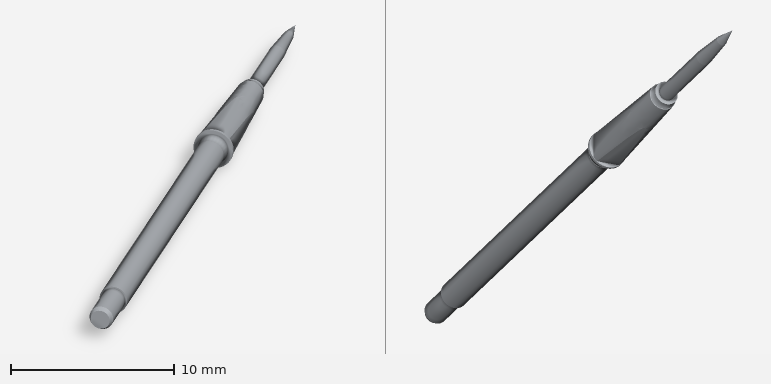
import cadquery as cq


flange_thickness = 0.2
sleeve_length = 8.3
collar_length = 0.55
ring_thickness = 0.17
plunger_length = 5.65
needle_cone_length = 2.7
point_base_length = 0.7
point_length = 0.9
neck_length = 0.75
barrel_length = 22.3
tail_length = 3.05
tail_chamfer_length = 0.3

flange_diameter = 2.5
sleeve_rear_diameter = 2.44
sleeve_front_diameter = 1.73
collar_diameter = 1.5
throat_diameter = 1.42
throat_flare_diameter = 1.66
plunger_diameter = 1.0
needle_cone_front_diameter = 0.65
point_diameter = 0.36
neck_front_diameter = 1.9
neck_rear_diameter = 1.66
barrel_diameter = 1.75
tail_diameter = 1.5

throat_flare_radius = 0.66

tail_chamfer_depth = 0.15

flat_count = 4
across_flats = 1.96

sleeve_start = flange_thickness
sleeve_end = sleeve_start + sleeve_length
collar_end = sleeve_end + collar_length
ring_start = collar_end - ring_thickness
plunger_end = collar_end + plunger_length
needle_cone_end = plunger_end + needle_cone_length
point_start = needle_cone_end + point_base_length
tip = point_start + point_length

neck_end = -neck_length
barrel_end = neck_end - barrel_length
tail_end = barrel_end - tail_length


def half_profile(station, radius):
    """Start a half outline in the YZ plane: on the axis, then out to the given radius."""
    return cq.Workplane("YZ").moveTo(station, 0).lineTo(station, radius)


def turned(outline, end):
    """Close a half outline along the axis from its end station and turn it about Y."""
    return outline.lineTo(end, 0).close().revolve(360, (0, 0, 0), (1, 0, 0))


def frustum(start, end, start_diameter, end_diameter):
    """Truncated cone about Y between two stations."""
    outline = half_profile(start, start_diameter / 2).lineTo(end, end_diameter / 2)
    return turned(outline, end)


def cylinder(start, end, diameter):
    return frustum(start, end, diameter, diameter)


def flatted_sleeve():
    """Cone that widens toward the flange, trimmed by flats parallel to the axis."""
    cone = frustum(sleeve_start, sleeve_end, sleeve_rear_diameter, sleeve_front_diameter)
    block_depth = flange_diameter
    cutter = cq.Workplane("XY").box(flange_diameter, sleeve_length, block_depth)
    cutter = cutter.translate((0, (sleeve_start + sleeve_end) / 2, (across_flats + block_depth) / 2))
    for index in range(flat_count):
        angle = index * 360 / flat_count
        cone = cone.cut(cutter.rotate((0, 0, 0), (0, 1, 0), angle))
    return cone


def collar():
    """Thin ring behind the plunger, joined to the sleeve by a throat that flares along an arc."""
    ring = cylinder(ring_start, collar_end, collar_diameter)
    flare = half_profile(ring_start, throat_diameter / 2)
    flare = flare.radiusArc((sleeve_end, throat_flare_diameter / 2), throat_flare_radius)
    return ring.union(turned(flare, sleeve_end))


def needle():
    """Plunger rod with three successive cones ending in a sharp point."""
    rod = cylinder(collar_end, plunger_end, plunger_diameter)
    cone = frustum(plunger_end, needle_cone_end, plunger_diameter, needle_cone_front_diameter)
    point_base = frustum(needle_cone_end, point_start, needle_cone_front_diameter, point_diameter)
    point = turned(half_profile(point_start, point_diameter / 2), tip)
    return rod.union(cone).union(point_base).union(point)


def tail():
    """Reduced rear end with a steep chamfer around its end face."""
    rod = cylinder(tail_end, barrel_end, tail_diameter)
    return rod.faces("<Y").edges().chamfer(tail_chamfer_depth, tail_chamfer_length)


flange = cylinder(0, flange_thickness, flange_diameter)
neck = frustum(neck_end, 0, neck_rear_diameter, neck_front_diameter)
barrel = cylinder(barrel_end, neck_end, barrel_diameter)

result = flange.union(flatted_sleeve()).union(collar()).union(needle())
result = result.union(neck).union(barrel).union(tail())